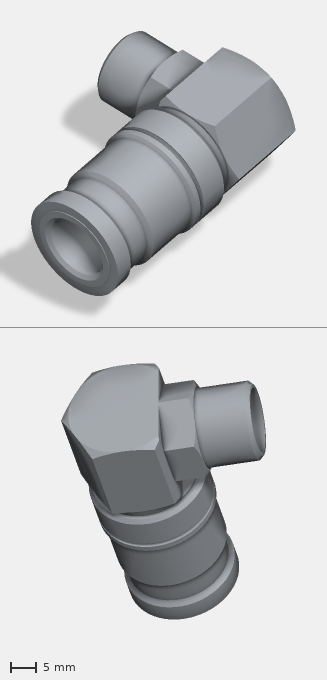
import cadquery as cq
import math

overlap = 0.5
full_turn = 360

hex_sides = 6
hex_half_sector = math.pi / hex_sides
hex_chamfer_slope = math.tan(math.radians(30))

body_across_flats = 22.0
body_half_length = 9.65
port_face_x = -7.35

port_end_x = -25.3
port_radius = 8.0
port_chamfer = 0.85
port_hex_across_flats = 17.0
port_hex_start_x = -14.2
port_bore_radius = 4.4
port_cone_radius = 6.5
port_cone_half_angle = 30.0

neck_radius = 10.5
neck_flat_end_y = -11.15

collar_start_y = -11.7
collar_radius = 12.0
collar_chamfer = 0.8
collar_end_y = -21.7
ring_groove_y = -19.2
ring_groove_half_width = 0.52
sleeve_radius = 11.25
latch_groove_radius = 10.25
latch_groove_start_y = -33.25
latch_groove_end_y = -40.2
sleeve_end_y = -44.15
seal_ring_radius = 9.0
plug_end_y = -44.305

socket_radius = 6.75
socket_chamfer = 0.75
passage_radius = 4.75


def revolve_about_y(outline):
    return outline.close().revolve(full_turn, (0, 0, 0), (0, 1, 0))


def revolve_about_x(outline):
    return outline.close().revolve(full_turn, (0, 0, 0), (1, 0, 0))


def across_corners(across_flats):
    return across_flats / math.cos(hex_half_sector)


def make_elbow_body():
    """Hex prism with both ends chamfered, cut flat towards the port."""
    corner_radius = across_corners(body_across_flats) / 2
    flat_radius = body_across_flats / 2
    chamfer_length = (corner_radius - flat_radius) * hex_chamfer_slope
    prism = (
        cq.Workplane("XZ", origin=(0, body_half_length, 0))
        .polygon(hex_sides, 2 * corner_radius)
        .extrude(2 * body_half_length)
    )
    envelope = revolve_about_y(
        cq.Workplane("XY")
        .moveTo(0, -body_half_length)
        .lineTo(flat_radius, -body_half_length)
        .lineTo(corner_radius, -body_half_length + chamfer_length)
        .lineTo(corner_radius, body_half_length - chamfer_length)
        .lineTo(flat_radius, body_half_length)
        .lineTo(0, body_half_length)
    )
    return cut_port_face(prism.intersect(envelope), -body_half_length, body_half_length)


def cut_port_face(solid, low_y, high_y):
    """Remove everything beyond the port face between two stations on Y."""
    width = 2 * body_across_flats
    waste = (
        cq.Workplane("XY")
        .box(width, high_y - low_y, width, centered=(False, False, True))
        .translate((port_face_x - width, low_y, 0))
    )
    return solid.cut(waste)


def make_neck():
    """Round neck; its port side is flat down to a short full disc at the plug."""
    start_y = -body_half_length + overlap
    end_y = collar_start_y - overlap
    neck = (
        cq.Workplane("XZ", origin=(0, start_y, 0))
        .circle(neck_radius)
        .extrude(start_y - end_y)
    )
    return cut_port_face(neck, neck_flat_end_y, 0)


def make_port():
    """Threaded stub with a chamfered tip, standing on a hexagon."""
    corner_radius = across_corners(port_hex_across_flats) / 2
    flat_radius = port_hex_across_flats / 2
    chamfer_length = (corner_radius - flat_radius) * hex_chamfer_slope
    hexagon = (
        cq.Workplane("YZ", origin=(port_hex_start_x, 0, 0))
        .polygon(hex_sides, 2 * corner_radius)
        .extrude(port_face_x - port_hex_start_x)
    )
    envelope = revolve_about_x(
        cq.Workplane("XY")
        .moveTo(port_hex_start_x, 0)
        .lineTo(port_hex_start_x, flat_radius)
        .lineTo(port_hex_start_x + chamfer_length, corner_radius)
        .lineTo(port_face_x, corner_radius)
        .lineTo(port_face_x, 0)
    )
    stub = revolve_about_x(
        cq.Workplane("XY")
        .moveTo(port_end_x, 0)
        .lineTo(port_end_x, port_radius - port_chamfer)
        .lineTo(port_end_x + port_chamfer, port_radius)
        .lineTo(port_face_x + overlap, port_radius)
        .lineTo(port_face_x + overlap, 0)
    )
    return hexagon.intersect(envelope).union(stub)


def make_plug():
    """Turned sleeve: collar with ring groove, latch groove and raised seal face."""
    collar_step = collar_radius - sleeve_radius
    latch_step = sleeve_radius - latch_groove_radius
    return revolve_about_y(
        cq.Workplane("XY")
        .moveTo(0, collar_start_y)
        .lineTo(collar_radius - collar_chamfer, collar_start_y)
        .lineTo(collar_radius, collar_start_y - collar_chamfer)
        .lineTo(collar_radius, ring_groove_y + ring_groove_half_width)
        .threePointArc(
            (sleeve_radius, ring_groove_y),
            (collar_radius, ring_groove_y - ring_groove_half_width),
        )
        .lineTo(collar_radius, collar_end_y + collar_step)
        .lineTo(sleeve_radius, collar_end_y)
        .lineTo(sleeve_radius, latch_groove_start_y)
        .lineTo(latch_groove_radius, latch_groove_start_y - latch_step)
        .lineTo(latch_groove_radius, latch_groove_end_y + latch_step)
        .lineTo(sleeve_radius, latch_groove_end_y)
        .lineTo(sleeve_radius, sleeve_end_y)
        .lineTo(seal_ring_radius, sleeve_end_y)
        .lineTo(seal_ring_radius, plug_end_y)
        .lineTo(0, plug_end_y)
    )


def make_plug_passage():
    """Chamfered socket as long as the plug, then a blind bore past the port."""
    return revolve_about_y(
        cq.Workplane("XY")
        .moveTo(0, plug_end_y)
        .lineTo(socket_radius + socket_chamfer, plug_end_y)
        .lineTo(socket_radius, plug_end_y + socket_chamfer)
        .lineTo(socket_radius, collar_start_y)
        .lineTo(passage_radius, collar_start_y)
        .lineTo(passage_radius, passage_radius)
        .lineTo(0, passage_radius)
    )


def make_port_passage():
    """Conical seat narrowing to the bore that meets the plug passage."""
    seat_slope = math.tan(math.radians(port_cone_half_angle))
    seat_depth = (port_cone_radius - port_bore_radius) / seat_slope
    return revolve_about_x(
        cq.Workplane("XY")
        .moveTo(port_end_x, 0)
        .lineTo(port_end_x, port_cone_radius)
        .lineTo(port_end_x + seat_depth, port_bore_radius)
        .lineTo(0, port_bore_radius)
        .lineTo(0, 0)
    )


result = (
    make_elbow_body()
    .union(make_neck())
    .union(make_port())
    .union(make_plug())
    .cut(make_plug_passage())
    .cut(make_port_passage())
)